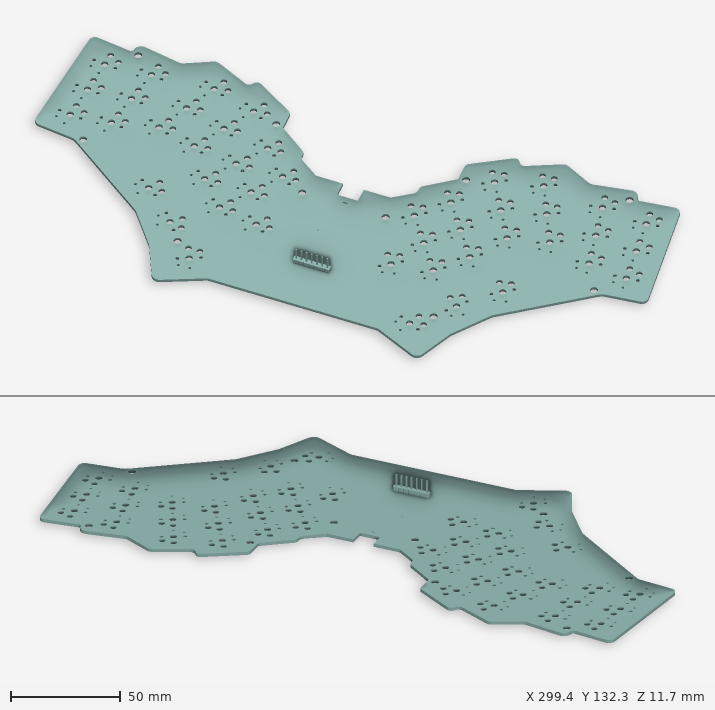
import cadquery as cq
import math


BOARD_THICKNESS = 1.6
OUTER_CORNER_RADIUS = 3.0
CORNER_RADIUS = 3.5
STEP_RADIUS = 2.5
INNER_STEP_RADIUS = 1.5
BEND_RADIUS = 6.0
SHARP = 0

NOTCH_HALF_WIDTH = 5.0
NOTCH_FLOOR_Y = 11.5
REAR_EDGE_Y = 18.5
FRONT_EDGE_Y = -57.0
LEFT_OUTLINE = [
    (-NOTCH_HALF_WIDTH, NOTCH_FLOOR_Y, SHARP),
    (-NOTCH_HALF_WIDTH, REAR_EDGE_Y, SHARP),
    (-18.2, REAR_EDGE_Y, SHARP),
    (-28.5, 25.7, CORNER_RADIUS),
    (-28.5, 29.5, STEP_RADIUS),
    (-42.8, 40.0, SHARP),
    (-42.8, 49.7, STEP_RADIUS),
    (-63.7, 62.2, STEP_RADIUS),
    (-66.5, 57.7, STEP_RADIUS),
    (-85.3, 66.5, CORNER_RADIUS),
    (-100.0, 59.2, CORNER_RADIUS),
    (-122.3, 63.0, CORNER_RADIUS),
    (-123.2, 57.7, INNER_STEP_RADIUS),
    (-144.0, 60.5, OUTER_CORNER_RADIUS),
    (-150.0, 1.8, OUTER_CORNER_RADIUS),
    (-129.0, -0.5, BEND_RADIUS),
    (-87.0, -30.8, BEND_RADIUS),
    (-73.5, -48.2, BEND_RADIUS),
    (-64.5, -67.3, CORNER_RADIUS),
    (-41.5, FRONT_EDGE_Y, SHARP),
]

STEM_DIAMETER = 3.3
SOCKET_DIAMETER = 3.0
POST_DIAMETER = 1.7
CONTACT_DIAMETER = 1.25
POST_OFFSET = 5.5
CONTACT_1 = (0, 6.0)
CONTACT_2 = (5.0, 4.0)

KEY_PITCH = 17.0
KEYS_PER_COLUMN = 3
COLUMN_MIDDLES = [
    (-134.0, 29.3, 6),
    (-113.5, 31.5, 11),
    (-88.0, 35.3, 26),
    (-67.5, 30.0, 31),
    (-54.7, 12.3, 36),
    (-42.2, -1.2, 36),
]
SINGLE_KEYS = [
    (-86.5, -16.0, 36),
    (-33.0, -18.5, 36),
    (-70.0, -31.5, 51),
    (-53.8, -48.8, -24),
]

MOUNT_DIAMETER = 3.5
MOUNTS = [(-120.0, 56.8), (-46.5, 41.0), (-20.3, 7.0), (-124.7, 0.3), (-62.5, -41.0)]

SLOT_CENTER_Y = 8.0
SLOT_LENGTH = 2.5
SLOT_WIDTH = 0.5
VIA_CENTER = (-5.5, -11.7)
VIA_DIAMETER = 0.5

PIN_COUNT = 7
PIN_PITCH = 2.55
PIN_SIDE = 0.63
PIN_LENGTH = 11.7
PIN_TAIL_BELOW_BOARD = 1.5
PIN_HOLE_DIAMETER = 1.0
HEADER_Y = -33.2
HEADER_CELL = PIN_PITCH
HEADER_CHAMFER = 0.3


def toward(start, end, distance):
    """Point at the given distance from start on the way to end."""
    length = math.dist(start, end)
    return tuple(s + (e - s) * distance / length for s, e in zip(start, end))


def rounded_outline(corners):
    """Closed wire through the corners (x, y, radius), each rounded by its own radius."""
    stretches = []
    for i, (x, y, radius) in enumerate(corners):
        corner = (x, y)
        before = corners[i - 1][:2]
        after = corners[(i + 1) % len(corners)][:2]
        if radius == SHARP:
            stretches.append((corner,))
            continue
        to_before = math.atan2(before[1] - y, before[0] - x)
        to_after = math.atan2(after[1] - y, after[0] - x)
        half_angle = abs(math.remainder(to_before - to_after, math.tau)) / 2
        setback = radius / math.tan(half_angle)
        start = toward(corner, before, setback)
        end = toward(corner, after, setback)
        chord_middle = tuple((s + e) / 2 for s, e in zip(start, end))
        depth = radius / math.sin(half_angle) - radius
        stretches.append((start, toward(corner, chord_middle, depth), end))

    sketch = cq.Workplane("XY").moveTo(*stretches[0][-1])
    for stretch in stretches[1:]:
        sketch = sketch.lineTo(*stretch[0])
        if len(stretch) > 1:
            sketch = sketch.threePointArc(*stretch[1:])
    return sketch.close()


def mirrored(points):
    return [(-x, y) for x, y in points]


def key_places():
    """Left-half key centres and tilts: the columns, then the keys that stand alone."""
    keys = []
    for x, y, tilt in COLUMN_MIDDLES:
        angle = math.radians(tilt)
        for row in range(KEYS_PER_COLUMN):
            along = (row - (KEYS_PER_COLUMN - 1) / 2) * KEY_PITCH
            keys.append((x + along * math.sin(angle), y + along * math.cos(angle), tilt))
    return keys + SINGLE_KEYS


def on_keys(offsets):
    """Board positions of the footprint offsets on every key of both halves."""
    left_keys = key_places()
    right_keys = [(-x, y, -tilt) for x, y, tilt in left_keys]
    points = []
    for x, y, tilt in left_keys + right_keys:
        angle = math.radians(tilt)
        for across, up in offsets:
            points.append((
                x + across * math.cos(angle) + up * math.sin(angle),
                y - across * math.sin(angle) + up * math.cos(angle),
            ))
    return points


def drills(points, diameter):
    """Round cutters through the board."""
    return cq.Workplane("XY").pushPoints(points).circle(diameter / 2).extrude(BOARD_THICKNESS)


def header_pins():
    first_x = -(PIN_COUNT - 1) / 2 * PIN_PITCH
    return [(first_x + i * PIN_PITCH, HEADER_Y) for i in range(PIN_COUNT)]


def make_board():
    right_outline = [(-x, y, radius) for x, y, radius in reversed(LEFT_OUTLINE)]
    board = rounded_outline(LEFT_OUTLINE + right_outline).extrude(BOARD_THICKNESS)

    contacts = [CONTACT_1, CONTACT_2]
    hole_groups = [
        (on_keys([(0, 0)]), STEM_DIAMETER),
        (on_keys(contacts), SOCKET_DIAMETER),
        (on_keys([(-POST_OFFSET, 0), (POST_OFFSET, 0)]), POST_DIAMETER),
        (on_keys([(-x, -y) for x, y in contacts]), CONTACT_DIAMETER),
        (MOUNTS + mirrored(MOUNTS), MOUNT_DIAMETER),
        ([VIA_CENTER], VIA_DIAMETER),
        (header_pins(), PIN_HOLE_DIAMETER),
    ]
    for points, diameter in hole_groups:
        board = board.cut(drills(points, diameter))

    slot = (
        cq.Workplane("XY")
        .center(0, SLOT_CENTER_Y)
        .slot2D(SLOT_LENGTH, SLOT_WIDTH)
        .extrude(BOARD_THICKNESS)
    )
    return board.cut(slot)


def make_header():
    """Plastic strip resting on the board, with square pins passing through it and the board."""
    strip = (
        cq.Workplane("XY", origin=(0, 0, BOARD_THICKNESS))
        .pushPoints(header_pins())
        .rect(HEADER_CELL, HEADER_CELL)
        .extrude(HEADER_CELL, combine=False)
    )
    cells = strip.edges("|Z").chamfer(HEADER_CHAMFER).combine()
    pins = (
        cq.Workplane("XY", origin=(0, 0, -PIN_TAIL_BELOW_BOARD))
        .pushPoints(header_pins())
        .rect(PIN_SIDE, PIN_SIDE)
        .extrude(PIN_LENGTH)
    )
    return cells.union(pins)


board = make_board()
header = make_header()

result = cq.Compound.makeCompound([board.val(), header.val()])